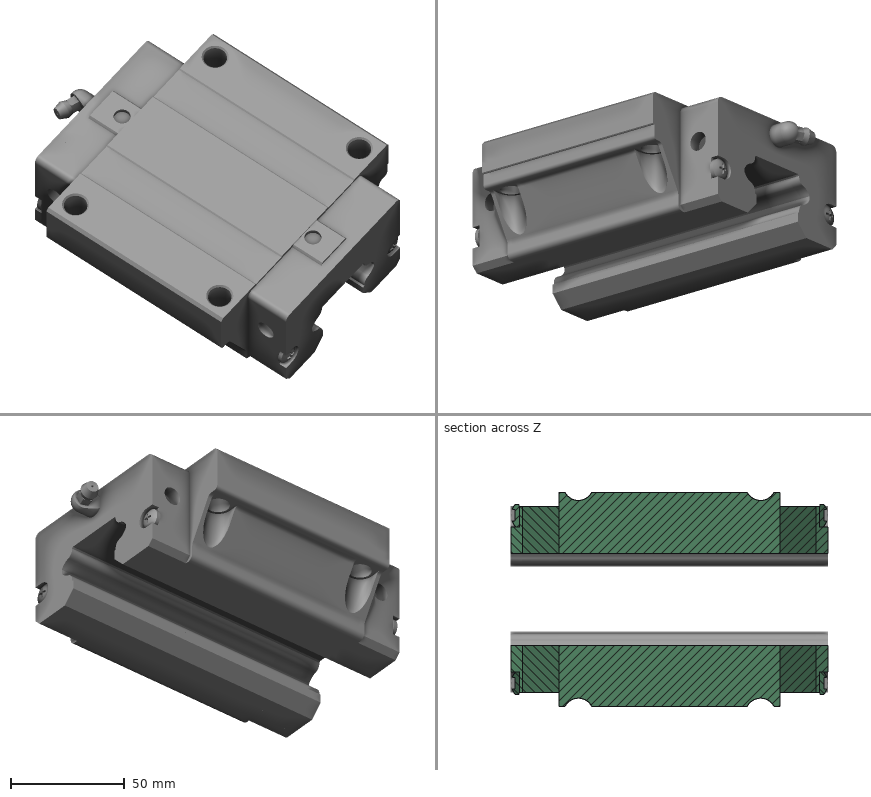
import cadquery as cq
import math


BLOCK_LENGTH = 97.0
BLOCK_WIDTH = 120.0
BLOCK_HEIGHT = 50.5
FLANGE_UNDERSIDE = 28.3
FLANGE_CHAMFER = 1.4
FLANGE_LOWER_RADIUS = 1.8
SIDE_STEP_DEPTH = 0.9
SIDE_STEP_HEIGHT = 35.2
SKIRT_WIDTH = 85.0
SKIRT_SLOPE_START = 7.9
SKIRT_SLOPE_ANGLE = 60
SKIRT_TOP_RADIUS = 2.5
SKIRT_BEND_RADIUS = 4.3
SKIRT_BOTTOM_RADIUS = 2.9

TRACK_INNER = 16.3
TRACK_OUTER = 35.6
TRACK_DEPTH = 0.5
TRACK_SLOPE_RUN = 0.6

HOLE_PITCH_X = 80.0
HOLE_PITCH_Y = 100.0
HOLE_DIAMETER = 10.4
HOLE_CHAMFER = 0.8
HOLE_CHAMFER_ANGLE = 90
CLEARANCE_DIAMETER = 13.1

CHANNEL_TOP = FLANGE_UNDERSIDE
CHANNEL_NECK = 15.2
CHANNEL_CORNER = 0.6
GROOVE_CENTRE_HEIGHT = 19.3
GROOVE_EDGE_RISE = 8.0
GROOVE_EDGE_RADIUS = 3.7
GROOVE_MOUTH_Y = 18.3
GROOVE_MOUTH_RISE = 4.4
GROOVE_WALL_RADIUS = 7.6
GROOVE_FLOOR_Y = 22.4
GROOVE_FLOOR_RISE = 0.9
LIP_HALF_WIDTH = 14.3
LIP_TOP = 10.2
LIP_BOTTOM = 6.0
LIP_BEVEL_RISE = 0.5

CAP_THICKNESS = 16.0
SEAL_THICKNESS = 5.2
END_WIDTH = 81.8
END_HEIGHT = 49.0
END_TOP_RADIUS = 2.9
END_BOTTOM_CHAMFER = 2.7
PAD_HEIGHT = 1.0
PAD_TOP_HALF_WIDTH = 8.2
PAD_SLOPE_RUN = 0.9
TOP_PORT_DIAMETER = 7.5
TOP_PORT_DEPTH = 1.8
TOP_PORT_OFFSET = 4.4
SIDE_PORT_DIAMETER = 8.7
SIDE_PORT_DEPTH = 6.0
SIDE_PORT_OFFSET = 9.9
SIDE_PORT_HEIGHT = 30.2

SCREW_DIAMETER = 9.9
SCREW_Y = 36.9
SCREW_HEIGHT = 15.8
SCREW_POCKET_DEPTH = 3.8
SCREW_RIM = 1.8
SCREW_DOME = 1.8
CROSS_LENGTH = 4.7
CROSS_WIDTH = 1.0
CROSS_DEPTH = 1.5

NIPPLE_RADIUS = 5.2
NIPPLE_HEIGHT = 41.9
NIPPLE_REACH = 6.4
NIPPLE_ANGLE = 18
NIPPLE_FLAT = 2.0
HEX_WIDTH = 6.5
HEX_END = 6.1
HEAD_BASE_RADIUS = 3.4
HEAD_RADIUS = 4.1
HEAD_WIDEST = 8.5
TIP_RADIUS = 2.7
NIPPLE_END = 12.3
BORE_DIAMETER = 1.0
BORE_DEPTH = 1.5

BLOCK_END = BLOCK_LENGTH / 2
CAP_END = BLOCK_END + CAP_THICKNESS
SEAL_END = CAP_END + SEAL_THICKNESS
ENDS = (-1, 1)
SIDES = (-1, 1)


def mirror_y(solid):
    return solid.mirror("XZ")


def rail_channel(x_start, length):
    """Void for the rail: a straight neck, a rounded ball groove and a lip above a flared mouth."""
    middle = GROOVE_CENTRE_HEIGHT
    right = (
        cq.Workplane("YZ", origin=(x_start, 0, 0))
        .lineTo(LIP_HALF_WIDTH + LIP_BOTTOM, 0)
        .lineTo(LIP_HALF_WIDTH, LIP_BOTTOM)
        .lineTo(LIP_HALF_WIDTH, LIP_TOP)
        .lineTo(CHANNEL_NECK, LIP_TOP + LIP_BEVEL_RISE)
        .lineTo(CHANNEL_NECK, middle - GROOVE_EDGE_RISE)
        .radiusArc((GROOVE_MOUTH_Y, middle - GROOVE_MOUTH_RISE), GROOVE_EDGE_RADIUS)
        .radiusArc((GROOVE_FLOOR_Y, middle - GROOVE_FLOOR_RISE), -GROOVE_WALL_RADIUS)
        .lineTo(GROOVE_FLOOR_Y, middle + GROOVE_FLOOR_RISE)
        .radiusArc((GROOVE_MOUTH_Y, middle + GROOVE_MOUTH_RISE), -GROOVE_WALL_RADIUS)
        .radiusArc((CHANNEL_NECK, middle + GROOVE_EDGE_RISE), GROOVE_EDGE_RADIUS)
        .lineTo(CHANNEL_NECK, CHANNEL_TOP - CHANNEL_CORNER)
        .lineTo(CHANNEL_NECK - CHANNEL_CORNER, CHANNEL_TOP)
        .lineTo(0, CHANNEL_TOP)
        .close()
        .extrude(length)
    )
    return right.union(mirror_y(right))


def block_blank():
    """Flanged outline without channel, tracks and holes; the +Y flange is stepped, the -Y one plain."""
    half_width = BLOCK_WIDTH / 2
    half_skirt = SKIRT_WIDTH / 2
    slope_rise = FLANGE_UNDERSIDE - SKIRT_SLOPE_START
    slope_top = half_skirt + slope_rise / math.tan(math.radians(SKIRT_SLOPE_ANGLE))
    half = (
        cq.Workplane("YZ", origin=(-BLOCK_END, 0, 0))
        .polyline([
            (0, 0),
            (half_skirt, 0),
            (half_skirt, SKIRT_SLOPE_START),
            (slope_top, FLANGE_UNDERSIDE),
            (half_width, FLANGE_UNDERSIDE),
            (half_width, BLOCK_HEIGHT),
            (0, BLOCK_HEIGHT),
        ])
        .close()
        .extrude(BLOCK_LENGTH)
    )

    def edge(y, z):
        return cq.selectors.NearestToPointSelector((0, y, z))

    half = half.edges(edge(half_skirt, 0)).fillet(SKIRT_BOTTOM_RADIUS)
    half = half.edges(edge(half_skirt, SKIRT_SLOPE_START)).fillet(SKIRT_BEND_RADIUS)
    half = half.edges(edge(slope_top, FLANGE_UNDERSIDE)).fillet(SKIRT_TOP_RADIUS)
    half = half.edges(edge(half_width, BLOCK_HEIGHT)).chamfer(FLANGE_CHAMFER)

    plain = half.edges(edge(half_width, FLANGE_UNDERSIDE)).fillet(FLANGE_LOWER_RADIUS)
    step_cut_height = 2 * (SIDE_STEP_HEIGHT - FLANGE_UNDERSIDE)
    step = (
        cq.Workplane("XY")
        .box(BLOCK_LENGTH, 2 * SIDE_STEP_DEPTH, step_cut_height)
        .translate((0, half_width, FLANGE_UNDERSIDE))
    )
    stepped = half.cut(step)
    stepped = stepped.edges(edge(half_width - SIDE_STEP_DEPTH, FLANGE_UNDERSIDE)).fillet(FLANGE_LOWER_RADIUS)
    stepped = stepped.edges(edge(half_width, SIDE_STEP_HEIGHT)).chamfer(SIDE_STEP_DEPTH / 2)
    return stepped.union(mirror_y(plain))


def top_track():
    """Void of the +Y track, with sloping sides."""
    floor = BLOCK_HEIGHT - TRACK_DEPTH
    return (
        cq.Workplane("YZ", origin=(-BLOCK_END, 0, 0))
        .polyline([
            (TRACK_INNER, BLOCK_HEIGHT),
            (TRACK_INNER + TRACK_SLOPE_RUN, floor),
            (TRACK_OUTER - TRACK_SLOPE_RUN, floor),
            (TRACK_OUTER, BLOCK_HEIGHT),
        ])
        .close()
        .extrude(BLOCK_LENGTH)
    )


def bolt_clearance(x, y):
    """Round-ended slot below the flange, from the hole axis outwards past the skirt."""
    outer_y = math.copysign(BLOCK_WIDTH / 2, y)
    round_end = cq.Workplane("XY").center(x, y).circle(CLEARANCE_DIAMETER / 2).extrude(FLANGE_UNDERSIDE)
    slot = (
        cq.Workplane("XY")
        .center(x, (y + outer_y) / 2)
        .rect(CLEARANCE_DIAMETER, abs(outer_y - y))
        .extrude(FLANGE_UNDERSIDE)
    )
    return round_end.union(slot)


def make_block():
    block = block_blank().cut(rail_channel(-BLOCK_END, BLOCK_LENGTH))
    block = block.cut(top_track()).cut(mirror_y(top_track()))

    hole_x = HOLE_PITCH_X / 2
    hole_y = HOLE_PITCH_Y / 2
    for x in (-hole_x, hole_x):
        for side in SIDES:
            block = block.cut(bolt_clearance(x, side * hole_y))
    return (
        block.faces(">Z")
        .workplane(origin=(0, 0, BLOCK_HEIGHT))
        .rect(HOLE_PITCH_X, HOLE_PITCH_Y, forConstruction=True)
        .vertices()
        .cskHole(HOLE_DIAMETER, HOLE_DIAMETER + 2 * HOLE_CHAMFER, HOLE_CHAMFER_ANGLE)
    )


def end_plate(x_start, thickness):
    """Plate with the end outline and the rail channel."""
    return (
        cq.Workplane("XY")
        .box(thickness, END_WIDTH, END_HEIGHT, centered=(False, True, False))
        .translate((x_start, 0, 0))
        .edges("|X and >Z")
        .fillet(END_TOP_RADIUS)
        .edges("|X and <Z")
        .chamfer(END_BOTTOM_CHAMFER)
        .cut(rail_channel(x_start, thickness))
    )


def place_at(end, solid):
    """Bodies are modelled at the +X end and mirrored for the -X end."""
    return solid if end > 0 else solid.mirror("YZ")


def make_cap(end):
    pad_base = PAD_TOP_HALF_WIDTH + PAD_SLOPE_RUN
    pad_top = END_HEIGHT + PAD_HEIGHT
    pad = (
        cq.Workplane("YZ", origin=(BLOCK_END, 0, 0))
        .polyline([
            (-pad_base, END_HEIGHT),
            (pad_base, END_HEIGHT),
            (PAD_TOP_HALF_WIDTH, pad_top),
            (-PAD_TOP_HALF_WIDTH, pad_top),
        ])
        .close()
        .extrude(CAP_THICKNESS)
    )
    top_port = (
        cq.Workplane("XY", origin=(BLOCK_END + TOP_PORT_OFFSET, 0, pad_top))
        .circle(TOP_PORT_DIAMETER / 2)
        .extrude(-TOP_PORT_DEPTH)
    )
    side_port = (
        cq.Workplane("XZ", origin=(BLOCK_END + SIDE_PORT_OFFSET, -END_WIDTH / 2, SIDE_PORT_HEIGHT))
        .circle(SIDE_PORT_DIAMETER / 2)
        .extrude(-SIDE_PORT_DEPTH)
    )
    cap = end_plate(BLOCK_END, CAP_THICKNESS).union(pad)
    cap = cap.cut(top_port).cut(side_port).cut(mirror_y(side_port))
    return place_at(end, cap)


def make_seal(end):
    floor = SEAL_END - SCREW_POCKET_DEPTH
    round_pocket = (
        cq.Workplane("YZ", origin=(floor, SCREW_Y, SCREW_HEIGHT))
        .circle(SCREW_DIAMETER / 2)
        .extrude(SCREW_POCKET_DEPTH)
    )
    side_opening = (
        cq.Workplane("XY")
        .box(SCREW_POCKET_DEPTH, SCREW_DIAMETER, SCREW_DIAMETER, centered=(False, False, True))
        .translate((floor, SCREW_Y, SCREW_HEIGHT))
    )
    pocket = round_pocket.union(side_opening)
    seal = end_plate(CAP_END, SEAL_THICKNESS).cut(pocket).cut(mirror_y(pocket))
    return place_at(end, seal)


def make_screw(end, side):
    """Domed screw head with a cross recess, seated on the pocket floor of a seal."""
    radius = SCREW_DIAMETER / 2
    height = SCREW_RIM + SCREW_DOME
    dome_radius = (radius**2 + SCREW_DOME**2) / (2 * SCREW_DOME)
    half_angle = math.asin(radius / dome_radius) / 2
    dome_middle = (
        dome_radius * math.sin(half_angle),
        height - dome_radius * (1 - math.cos(half_angle)),
    )
    head = (
        cq.Workplane("XY")
        .lineTo(radius, 0)
        .lineTo(radius, SCREW_RIM)
        .threePointArc(dome_middle, (0, height))
        .close()
        .revolve(360, (0, 0, 0), (0, 1, 0))
        .rotate((0, 0, 0), (0, 0, 1), -90)
    )
    for length_y, length_z in ((CROSS_LENGTH, CROSS_WIDTH), (CROSS_WIDTH, CROSS_LENGTH)):
        arm = cq.Workplane("XY").box(2 * CROSS_DEPTH, length_y, length_z)
        head = head.cut(arm.translate((height, 0, 0)))
    seat = (SEAL_END - SCREW_POCKET_DEPTH, side * SCREW_Y, SCREW_HEIGHT)
    return place_at(end, head.translate(seat))


def make_nipple():
    """Round elbow on the -X seal, cut flat where the angled hexagon and head leave it."""
    elbow_centre = cq.Vector(-SEAL_END - NIPPLE_REACH, 0, NIPPLE_HEIGHT)
    angle = math.radians(NIPPLE_ANGLE)
    axis = cq.Vector(-math.sin(angle), -math.cos(angle), 0)
    across = cq.Vector(math.cos(angle), -math.sin(angle), 0)

    def across_axis(distance):
        return cq.Workplane(cq.Plane(elbow_centre + axis * distance, xDir=across, normal=axis))

    elbow_plane = cq.Plane(elbow_centre, xDir=(1, 0, 0), normal=(0, 0, 1))
    elbow_blank = (
        cq.Workplane(elbow_plane)
        .moveTo(-NIPPLE_RADIUS, 0)
        .lineTo(NIPPLE_REACH, 0)
        .lineTo(NIPPLE_REACH, NIPPLE_RADIUS)
        .lineTo(0, NIPPLE_RADIUS)
        .radiusArc((-NIPPLE_RADIUS, 0), -NIPPLE_RADIUS)
        .close()
        .revolve(360, (0, 0, 0), (1, 0, 0))
    )
    cut_width = 4 * NIPPLE_RADIUS
    beyond_flat = across_axis(NIPPLE_FLAT).rect(cut_width, cut_width).extrude(NIPPLE_RADIUS)
    elbow = elbow_blank.cut(beyond_flat)

    hex_corners = HEX_WIDTH / math.cos(math.radians(30))
    hexagon = across_axis(NIPPLE_FLAT).polygon(6, hex_corners).extrude(HEX_END - NIPPLE_FLAT)

    head_plane = cq.Plane(elbow_centre, xDir=across, normal=across.cross(axis))
    head = (
        cq.Workplane(head_plane)
        .polyline([
            (0, HEX_END),
            (HEAD_BASE_RADIUS, HEX_END),
            (HEAD_RADIUS, HEAD_WIDEST),
            (TIP_RADIUS, NIPPLE_END),
            (0, NIPPLE_END),
        ])
        .close()
        .revolve(360, (0, 0, 0), (0, 1, 0))
    )
    bore = across_axis(NIPPLE_END).circle(BORE_DIAMETER / 2).extrude(-BORE_DEPTH)
    return elbow.union(hexagon).union(head).cut(bore)


block = make_block()
caps = [make_cap(end) for end in ENDS]
seals = [make_seal(end) for end in ENDS]
screws = [make_screw(end, side) for end in ENDS for side in SIDES]
nipple = make_nipple()

bodies = [block, *caps, *seals, *screws, nipple]
result = cq.Compound.makeCompound([body.val() for body in bodies])